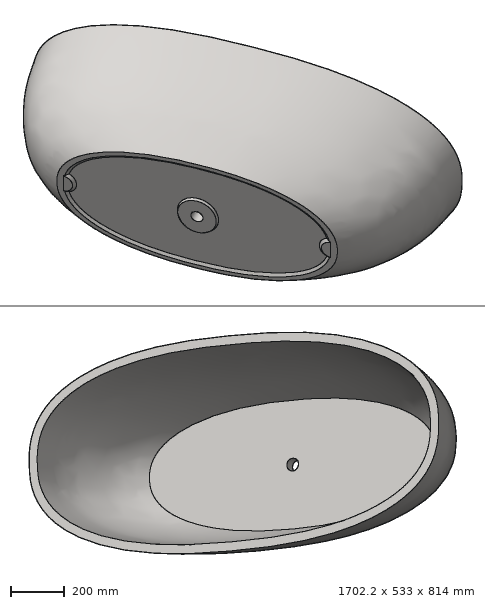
import cadquery as cq
import math

LENGTH = 1702.0
HEIGHT = 814.0
DEPTH = 533.0
RIM_Y = DEPTH / 2

PAD_PROUD = 2.0
FOOT_DEPTH = DEPTH - PAD_PROUD
FOOT_Y = RIM_Y - FOOT_DEPTH
FOOT_HALF_LENGTH = 557.0
FOOT_HALF_HEIGHT = 257.0
FOOT_RING_LENGTH_WIDTH = 27.0
FOOT_RING_HEIGHT_WIDTH = 17.0
RECESS_DEPTH = 9.0
RECESS_WALL_TAPER = 12.0
RECESS_Y = FOOT_Y + RECESS_DEPTH

PAD_TOP_RADIUS = 35.0
PAD_BASE_RADIUS = 48.0
DRAIN_BOSS_TOP_RADIUS = 77.0
DRAIN_BOSS_BASE_RADIUS = 82.0
DRAIN_HOLE_RADIUS = 24.0

WALL = 34.0
FLOOR_THICKNESS = 37.0

RIM_ROUNDNESS = 2.4
FOOT_ROUNDNESS = 2.2
OUTLINE_POINTS = 48

SIDE_STATIONS = [
    (0.0, LENGTH / 2, HEIGHT / 2),
    (115.0, 835.0, 390.0),
    (218.0, 808.0, 371.0),
    (320.0, 765.0, 344.0),
    (422.0, 696.0, 305.0),
    (482.0, 633.0, 279.0),
    (FOOT_DEPTH, FOOT_HALF_LENGTH, FOOT_HALF_HEIGHT),
]


def signed_power(value, power):
    return math.copysign(abs(value) ** power, value)


def oval(y, half_length, half_height, roundness):
    """Closed oval wire in the XZ plane at height y."""
    points = []
    for i in range(OUTLINE_POINTS):
        angle = 2 * math.pi * i / OUTLINE_POINTS
        x = half_length * signed_power(math.cos(angle), 2 / roundness)
        z = half_height * signed_power(math.sin(angle), 2 / roundness)
        points.append(cq.Vector(x, y, z))
    return cq.Wire.assembleEdges([cq.Edge.makeSpline(points, periodic=True)])


def side_loft(stations, inset):
    """Smooth body through the side stations, pulled in by inset."""
    wires = []
    for depth, half_length, half_height in stations:
        roundness = RIM_ROUNDNESS + (FOOT_ROUNDNESS - RIM_ROUNDNESS) * depth / FOOT_DEPTH
        wires.append(oval(RIM_Y - depth, half_length - inset, half_height - inset, roundness))
    return cq.Workplane(cq.Solid.makeLoft(wires))


def underside_recess():
    """Shallow oval recess whose wall tapers in towards its floor."""
    half_length = FOOT_HALF_LENGTH - FOOT_RING_LENGTH_WIDTH
    half_height = FOOT_HALF_HEIGHT - FOOT_RING_HEIGHT_WIDTH
    mouth = oval(FOOT_Y, half_length, half_height, FOOT_ROUNDNESS)
    floor = oval(
        RECESS_Y, half_length - RECESS_WALL_TAPER, half_height - RECESS_WALL_TAPER, FOOT_ROUNDNESS
    )
    return cq.Workplane(cq.Solid.makeLoft([mouth, floor], True))


def tapered_boss(x, base_radius, top_radius):
    """Conical boss standing on the recess floor and pointing to -Y."""
    height = RECESS_DEPTH + PAD_PROUD
    return cq.Workplane(
        cq.Solid.makeCone(base_radius, top_radius, height, cq.Vector(x, RECESS_Y, 0), cq.Vector(0, -1, 0))
    )


def end_pads():
    """Half-round pads at both ends, cut straight at the foot ring's inner edge."""
    pad_x = FOOT_HALF_LENGTH - FOOT_RING_LENGTH_WIDTH
    pads = tapered_boss(pad_x, PAD_BASE_RADIUS, PAD_TOP_RADIUS)
    pads = pads.add(tapered_boss(-pad_x, PAD_BASE_RADIUS, PAD_TOP_RADIUS)).combine()
    return pads.intersect(cq.Workplane().box(2 * pad_x, DEPTH, HEIGHT))


def drain_hole():
    return cq.Workplane("XZ", origin=(0, RIM_Y, 0)).circle(DRAIN_HOLE_RADIUS).extrude(DEPTH)


floor_y = RECESS_Y + FLOOR_THICKNESS
basin_space = cq.Workplane().box(LENGTH, RIM_Y - floor_y, HEIGHT)
basin_space = basin_space.translate((0, (RIM_Y + floor_y) / 2, 0))
basin = side_loft(SIDE_STATIONS, WALL).intersect(basin_space)

result = side_loft(SIDE_STATIONS, 0).cut(basin).cut(underside_recess())
result = result.union(tapered_boss(0, DRAIN_BOSS_BASE_RADIUS, DRAIN_BOSS_TOP_RADIUS))
result = result.union(end_pads())
result = result.cut(drain_hole())